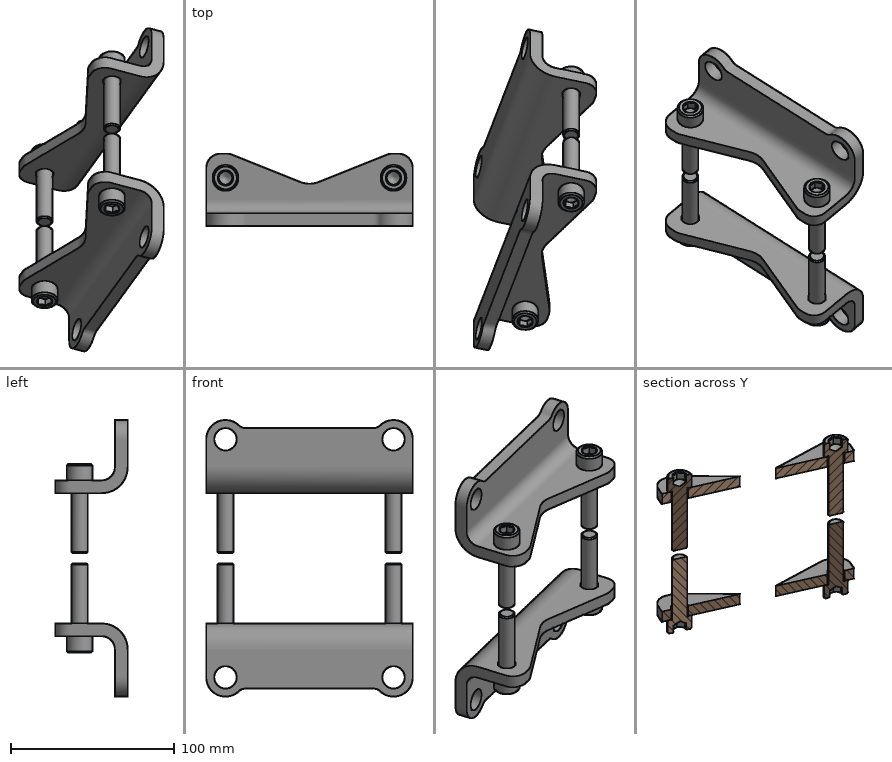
import cadquery as cq
import math

WIDTH = 126.5
DEPTH = 44.4
HEIGHT = 169.5
BRACKET_HEIGHT = 44.9
SHELF_Z = HEIGHT / 2 - BRACKET_HEIGHT
FRONT_Y = -DEPTH / 2
BACK_Y = DEPTH / 2

THICKNESS = 8.0
BEND_OUTER_RADIUS = 16.0
BEND_INNER_RADIUS = BEND_OUTER_RADIUS - THICKNESS

EAR_RADIUS = 11.9
EAR_HOLE_DIAMETER = 13.5
EAR_X = WIDTH / 2 - EAR_RADIUS
EAR_Z = HEIGHT / 2 - EAR_RADIUS
EDGE_RECESS = 4.9
EAR_BLEND_RADIUS = 5.6

NOTCH_ANGLE = 21.8
NOTCH_HALF_WIDTH = 49.0
NOTCH_DEPTH = NOTCH_HALF_WIDTH * math.tan(math.radians(NOTCH_ANGLE))
SHELF_CORNER_RADIUS = 9.0
NOTCH_BOTTOM_RADIUS = 15.0

BOLT_X = EAR_X
BOLT_Y = BACK_Y - 14.9
BOLT_HOLE_DIAMETER = 11.0
SHANK_DIAMETER = 10.0
SHANK_LENGTH = 44.7
SHANK_CHAMFER = 0.8
HEAD_DIAMETER = 16.0
HEAD_HEIGHT = 10.0
HEAD_CHAMFER = 1.0
HEAD_BASE_RADIUS = 0.5
SOCKET_SIDES = 6
SOCKET_TURN = 30
SOCKET_FLATS = 8.1
SOCKET_CORNERS = SOCKET_FLATS / math.cos(math.pi / SOCKET_SIDES)
SOCKET_DEPTH = 5.0
SOCKET_MOUTH_DIAMETER = 9.5
SOCKET_CONE_HEIGHT = 2.4
SEAT_Z = SHELF_Z + THICKNESS


def bent_plate():
    """L-shaped bent strip across the full width."""
    top_z = HEIGHT / 2
    strip = (
        cq.Workplane("YZ")
        .polyline([
            (FRONT_Y, top_z),
            (FRONT_Y, SHELF_Z),
            (BACK_Y, SHELF_Z),
            (BACK_Y, SEAT_Z),
            (FRONT_Y + THICKNESS, SEAT_Z),
            (FRONT_Y + THICKNESS, top_z),
        ])
        .close()
        .extrude(WIDTH / 2, both=True)
    )
    outer_edge = cq.selectors.NearestToPointSelector((0, FRONT_Y, SHELF_Z))
    inner_edge = cq.selectors.NearestToPointSelector((0, FRONT_Y + THICKNESS, SEAT_Z))
    return (
        strip.edges("|X").edges(outer_edge).fillet(BEND_OUTER_RADIUS)
        .edges("|X").edges(inner_edge).fillet(BEND_INNER_RADIUS)
    )


def flange_outline():
    """Front outline, extruded along Y: full width with two ears above a recessed edge."""
    edge_z = HEIGHT / 2 - EDGE_RECESS
    blend_z = edge_z + EAR_BLEND_RADIUS
    center_distance = EAR_RADIUS + EAR_BLEND_RADIUS
    blend_rise = blend_z - EAR_Z
    blend_x = EAR_X - math.sqrt(center_distance**2 - blend_rise**2)
    touch_ratio = EAR_RADIUS / center_distance
    touch_x = EAR_X + (blend_x - EAR_X) * touch_ratio
    touch_z = EAR_Z + blend_rise * touch_ratio
    half_blend = (math.pi / 2 - math.asin(blend_rise / center_distance)) / 2
    blend_mid_x = blend_x + EAR_BLEND_RADIUS * math.sin(half_blend)
    blend_mid_z = blend_z - EAR_BLEND_RADIUS * math.cos(half_blend)
    return (
        cq.Workplane("XZ", origin=(0, BACK_Y, 0))
        .moveTo(-WIDTH / 2, SHELF_Z)
        .lineTo(WIDTH / 2, SHELF_Z)
        .lineTo(WIDTH / 2, EAR_Z)
        .threePointArc((EAR_X, HEIGHT / 2), (touch_x, touch_z))
        .threePointArc((blend_mid_x, blend_mid_z), (blend_x, edge_z))
        .lineTo(-blend_x, edge_z)
        .threePointArc((-blend_mid_x, blend_mid_z), (-touch_x, touch_z))
        .threePointArc((-EAR_X, HEIGHT / 2), (-WIDTH / 2, EAR_Z))
        .close()
        .extrude(DEPTH)
    )


def shelf_outline():
    """Plan outline, extruded along Z: rounded back corners and a V notch between them."""
    outline = (
        cq.Workplane("XY", origin=(0, 0, SHELF_Z))
        .polyline([
            (-WIDTH / 2, FRONT_Y),
            (WIDTH / 2, FRONT_Y),
            (WIDTH / 2, BACK_Y),
            (NOTCH_HALF_WIDTH, BACK_Y),
            (0, BACK_Y - NOTCH_DEPTH),
            (-NOTCH_HALF_WIDTH, BACK_Y),
            (-WIDTH / 2, BACK_Y),
        ])
        .close()
        .extrude(BRACKET_HEIGHT)
    )
    notch_bottom = cq.selectors.NearestToPointSelector(
        (0, BACK_Y - NOTCH_DEPTH, SHELF_Z + BRACKET_HEIGHT / 2)
    )
    return (
        outline.edges("|Z").edges(notch_bottom).fillet(NOTCH_BOTTOM_RADIUS)
        .edges("|Z").edges(">Y").fillet(SHELF_CORNER_RADIUS)
    )


def make_upper_bracket():
    """Bent plate trimmed to both outlines, with ear holes and bolt clearance holes."""
    ear_holes = (
        cq.Workplane("XZ", origin=(0, BACK_Y, 0))
        .pushPoints([(-EAR_X, EAR_Z), (EAR_X, EAR_Z)])
        .circle(EAR_HOLE_DIAMETER / 2)
        .extrude(DEPTH)
    )
    bolt_holes = (
        cq.Workplane("XY", origin=(0, 0, SHELF_Z))
        .pushPoints([(-BOLT_X, BOLT_Y), (BOLT_X, BOLT_Y)])
        .circle(BOLT_HOLE_DIAMETER / 2)
        .extrude(THICKNESS)
    )
    plate = bent_plate().intersect(flange_outline()).intersect(shelf_outline())
    return plate.cut(ear_holes).cut(bolt_holes)


def make_upper_bolt(x):
    """Socket head bolt pointing down, with its head seated on the upper shelf."""
    shank = (
        cq.Workplane("XY", origin=(x, BOLT_Y, SEAT_Z))
        .circle(SHANK_DIAMETER / 2)
        .extrude(-SHANK_LENGTH)
        .faces("<Z").chamfer(SHANK_CHAMFER)
    )
    head = (
        cq.Workplane("XY", origin=(x, BOLT_Y, SEAT_Z))
        .circle(HEAD_DIAMETER / 2)
        .extrude(HEAD_HEIGHT)
        .faces(">Z").chamfer(HEAD_CHAMFER)
        .faces("<Z").edges().fillet(HEAD_BASE_RADIUS)
    )
    head_top = SEAT_Z + HEAD_HEIGHT
    socket = (
        cq.Workplane("XY", origin=(x, BOLT_Y, head_top))
        .transformed(rotate=(0, 0, SOCKET_TURN))
        .polygon(SOCKET_SIDES, SOCKET_CORNERS)
        .extrude(-SOCKET_DEPTH)
    )
    socket_mouth = cq.Workplane(cq.Solid.makeCone(
        SOCKET_MOUTH_DIAMETER / 2, 0, SOCKET_MOUTH_DIAMETER / 2,
        pnt=cq.Vector(x, BOLT_Y, head_top), dir=cq.Vector(0, 0, -1),
    ))
    socket_tip = cq.Workplane(cq.Solid.makeCone(
        SOCKET_FLATS / 2, 0, SOCKET_CONE_HEIGHT,
        pnt=cq.Vector(x, BOLT_Y, head_top - SOCKET_DEPTH), dir=cq.Vector(0, 0, -1),
    ))
    return shank.union(head).cut(socket).cut(socket_mouth).cut(socket_tip)


upper_bracket = make_upper_bracket()
lower_bracket = upper_bracket.mirror("XY")

bolts = []
for bolt_x in (-BOLT_X, BOLT_X):
    upper_bolt = make_upper_bolt(bolt_x)
    bolts.append(upper_bolt.val())
    bolts.append(upper_bolt.mirror("XY").val())

result = cq.Compound.makeCompound([upper_bracket.val(), lower_bracket.val(), *bolts])